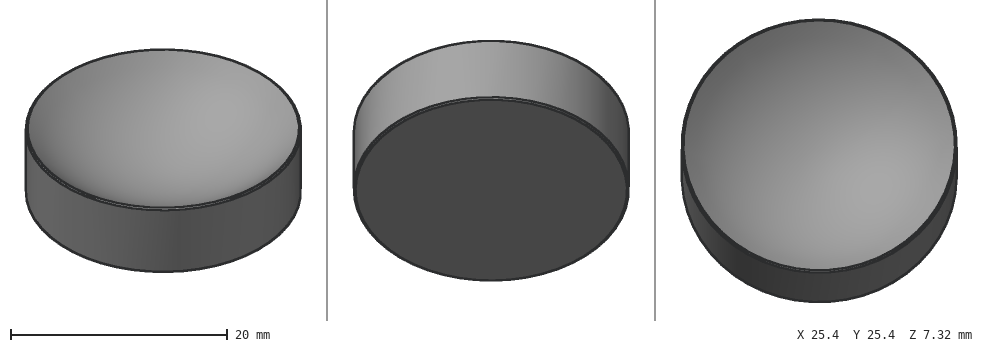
import cadquery as cq
import math

diameter = 25.4
edge_thickness = 7.32
bevel = 0.18
hollow_radius = 17.6

radius = diameter / 2
rim_radius = radius - bevel

hollow_center_height = edge_thickness + math.sqrt(hollow_radius**2 - rim_radius**2)
hollow_floor = hollow_center_height - hollow_radius

half_section = (
    cq.Workplane("YZ")
    .lineTo(-rim_radius, 0)
    .lineTo(-radius, bevel)
    .lineTo(-radius, edge_thickness - bevel)
    .lineTo(-rim_radius, edge_thickness)
    .radiusArc((0, hollow_floor), -hollow_radius)
    .close()
)

result = half_section.revolve(360, (0, 0, 0), (0, 1, 0))